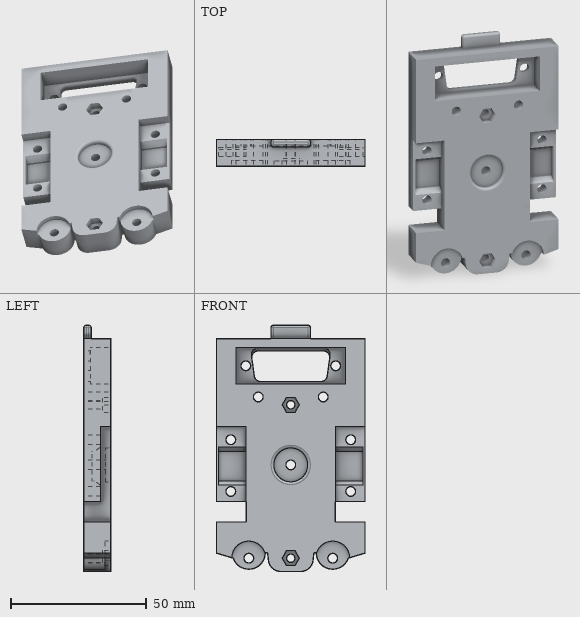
import cadquery as cq
import math

WIDTH = 55.0
THICKNESS = 10.0
PLATE_TOP = 86.0
HALF_WIDTH = WIDTH / 2
CUT_MARGIN = 1.0
SIDES = (-1, 1)

TAB_WIDTH = 14.7
TAB_THICKNESS = 2.8
TAB_HEIGHT = 5.0
TAB_SIDE_ROUND = 1.05
TAB_TOP_ROUND = 0.9

LOWER_HOLE_Z = 4.95
FOOT_HALF_WIDTH = 8.6
FOOT_SIDE_ANGLE = 6.5
FOOT_CORNER_RADIUS = 4.65
EAR_X = 15.5
EAR_CENTER_Z = 6.95
EAR_RADIUS = 6.1
EAR_RECESS_RADIUS = 6.3
EAR_RECESS_DEPTH = 2.1
CORNER_Z = 6.8
SLANT_ANGLE = 16.5

SIDE_CUT_X = 16.5
NOTCH_BOTTOM = 18.4
NOTCH_TOP = 25.8
RECESS_TOP = 53.5
RECESS_DEPTH = 3.75

SIDE_POCKET_OUTER_X = 26.6
SIDE_POCKET_Z = 38.95
SIDE_POCKET_HEIGHT = 14.0
SIDE_POCKET_FLOOR_HEIGHT = 10.9
SIDE_POCKET_DEPTH = 3.25
SIDE_POCKET_SLOPE_DEPTH = 2.45

CONNECTOR_Z = 76.0
CONNECTOR_POCKET_WIDTH = 40.4
CONNECTOR_POCKET_HEIGHT = 13.5
CONNECTOR_WALL = 2.5
WINDOW_BOTTOM = 70.25
WINDOW_TOP = 82.4
WINDOW_TOP_HALF_WIDTH = 14.85
WINDOW_SIDE_ANGLE = 8.0
WINDOW_CORNER_RADIUS = 2.2
WINDOW_LIP_RADIUS = 1.0

DISC_Z = 39.4
DISC_RADIUS = 6.25
DISC_DEPTH = 2.0
DISC_RIM_ROUND = 1.0

NUT_UPPER_Z = 61.6
NUT_ACROSS_FLATS = 5.5
NUT_DEPTH = 3.0
NUT_HOLE = 3.0

SCREW_HOLE = 3.5
CONNECTOR_HOLE_X = 16.6
PAIR_HOLE_X = 12.0
PAIR_HOLE_Z = 64.5
SIDE_HOLE_X = 22.15
SIDE_HOLE_Z = 39.15
SIDE_HOLE_SPACING = 19.1


def front_plane(y=0.0):
    """Sketch plane at depth y: local x is X, local y is Z, negative extrusions run towards +Y."""
    return cq.Workplane(cq.Plane(origin=(0, y, 0), xDir=(1, 0, 0), normal=(0, -1, 0)))


def box(x0, x1, y0, y1, z0, z1):
    """Axis-aligned box between the given limits, in any order along X."""
    return cq.Workplane("XY").box(abs(x1 - x0), y1 - y0, z1 - z0, centered=False).translate(
        (min(x0, x1), y0, z0)
    )


def disc(x, z, radius, y0, y1):
    """Round cutter along Y."""
    return front_plane(y0).center(x, z).circle(radius).extrude(y0 - y1)


def through_hole(x, z, diameter):
    return disc(x, z, diameter / 2, -CUT_MARGIN, THICKNESS + CUT_MARGIN)


def make_plate():
    """Plate with slanted lower corners, two round ears and the central foot."""
    slant_run = HALF_WIDTH - EAR_X
    slant_end_z = CORNER_Z - slant_run * math.tan(math.radians(SLANT_ANGLE))
    plate = (
        front_plane()
        .moveTo(-HALF_WIDTH, PLATE_TOP)
        .lineTo(-HALF_WIDTH, CORNER_Z)
        .lineTo(-EAR_X, slant_end_z)
        .lineTo(-EAR_X, EAR_CENTER_Z)
        .lineTo(EAR_X, EAR_CENTER_Z)
        .lineTo(EAR_X, slant_end_z)
        .lineTo(HALF_WIDTH, CORNER_Z)
        .lineTo(HALF_WIDTH, PLATE_TOP)
        .close()
        .extrude(-THICKNESS)
    )
    foot_base_half = FOOT_HALF_WIDTH - EAR_CENTER_Z * math.tan(math.radians(FOOT_SIDE_ANGLE))
    foot = (
        front_plane()
        .polyline(
            [
                (-FOOT_HALF_WIDTH, EAR_CENTER_Z),
                (-foot_base_half, 0),
                (foot_base_half, 0),
                (FOOT_HALF_WIDTH, EAR_CENTER_Z),
            ]
        )
        .close()
        .extrude(-THICKNESS)
        .edges("|Y and <Z")
        .fillet(FOOT_CORNER_RADIUS)
    )
    plate = plate.union(foot)
    for side in SIDES:
        plate = plate.union(disc(side * EAR_X, EAR_CENTER_Z, EAR_RADIUS, 0, THICKNESS))
    return plate


def make_tab():
    """Tab with rounded upright edges and a rounded top."""
    half = TAB_WIDTH / 2
    tab_top = PLATE_TOP + TAB_HEIGHT
    tab = box(-half, half, THICKNESS - TAB_THICKNESS, THICKNESS, PLATE_TOP, tab_top)
    return tab.edges("|Z").fillet(TAB_SIDE_ROUND).faces(">Z").edges().fillet(TAB_TOP_ROUND)


def side_cut(side):
    """Notch, recess and sloped pocket on one side of the plate."""
    outer = side * (HALF_WIDTH + CUT_MARGIN)
    inner = side * SIDE_CUT_X
    notch = box(inner, outer, -CUT_MARGIN, THICKNESS + CUT_MARGIN, NOTCH_BOTTOM, NOTCH_TOP)
    recess = box(inner, outer, -CUT_MARGIN, RECESS_DEPTH, NOTCH_BOTTOM, RECESS_TOP)

    mouth = SIDE_POCKET_HEIGHT / 2
    floor = SIDE_POCKET_FLOOR_HEIGHT / 2
    pocket = (
        cq.Workplane("YZ", origin=(inner, RECESS_DEPTH, SIDE_POCKET_Z))
        .polyline(
            [
                (0, -mouth),
                (SIDE_POCKET_SLOPE_DEPTH, -floor),
                (SIDE_POCKET_DEPTH, -floor),
                (SIDE_POCKET_DEPTH, floor),
                (SIDE_POCKET_SLOPE_DEPTH, floor),
                (0, mouth),
            ]
        )
        .close()
        .extrude(side * (SIDE_POCKET_OUTER_X - SIDE_CUT_X))
    )
    return notch.union(recess).union(pocket)


def window_prism(top_z, y0, y1):
    """D-shaped prism with rounded corners, cut off at top_z; all heights share the same sloping sides."""
    slope = math.tan(math.radians(WINDOW_SIDE_ANGLE))
    top_half = WINDOW_TOP_HALF_WIDTH - (WINDOW_TOP - top_z) * slope
    bottom_half = WINDOW_TOP_HALF_WIDTH - (WINDOW_TOP - WINDOW_BOTTOM) * slope
    return (
        front_plane(y0)
        .polyline(
            [
                (-top_half, top_z),
                (top_half, top_z),
                (bottom_half, WINDOW_BOTTOM),
                (-bottom_half, WINDOW_BOTTOM),
            ]
        )
        .close()
        .extrude(y0 - y1)
        .edges("|Y")
        .fillet(WINDOW_CORNER_RADIUS)
    )


def connector_cut():
    """Rectangular pocket and a D-shaped window whose upper lip is rounded, fading out at the corners."""
    half_width = CONNECTOR_POCKET_WIDTH / 2
    half_height = CONNECTOR_POCKET_HEIGHT / 2
    pocket_bottom = CONNECTOR_Z - half_height
    pocket_top = CONNECTOR_Z + half_height
    floor_y = THICKNESS - CONNECTOR_WALL
    window_end = THICKNESS + CUT_MARGIN
    pocket = box(-half_width, half_width, -CUT_MARGIN, floor_y, pocket_bottom, pocket_top)

    narrow_window = window_prism(WINDOW_TOP - WINDOW_LIP_RADIUS, floor_y, window_end)
    around_window = cq.selectors.BoxSelector(
        (-WINDOW_TOP_HALF_WIDTH, floor_y - CUT_MARGIN, pocket_bottom),
        (WINDOW_TOP_HALF_WIDTH, floor_y + CUT_MARGIN, WINDOW_TOP),
    )
    rounded_wall = (
        box(-half_width, half_width, floor_y, window_end, pocket_bottom - CUT_MARGIN, PLATE_TOP)
        .cut(narrow_window)
        .faces("<Y")
        .edges(around_window)
        .fillet(WINDOW_LIP_RADIUS)
    )

    wide_window = window_prism(WINDOW_TOP, floor_y, window_end)
    return pocket.union(wide_window.cut(rounded_wall))


def disc_cut():
    """Round pocket whose rim is rounded into the front face, turned about its Y axis."""
    rim_radius = DISC_RADIUS + DISC_RIM_ROUND
    arc_inset = DISC_RIM_ROUND * (1 - math.sqrt(0.5))
    return (
        cq.Workplane("XY", origin=(0, 0, DISC_Z))
        .lineTo(rim_radius, 0)
        .threePointArc((DISC_RADIUS + arc_inset, arc_inset), (DISC_RADIUS, DISC_RIM_ROUND))
        .lineTo(DISC_RADIUS, DISC_DEPTH)
        .lineTo(0, DISC_DEPTH)
        .close()
        .revolve(360, (0, 0, 0), (0, 1, 0))
    )


def nut_cut(z):
    """Hexagonal pocket with corners along X, and its screw hole."""
    across_corners = NUT_ACROSS_FLATS / math.cos(math.radians(30))
    pocket = front_plane().center(0, z).polygon(6, across_corners).extrude(-NUT_DEPTH)
    return pocket.union(through_hole(0, z, NUT_HOLE))


result = make_plate().union(make_tab())
result = result.cut(connector_cut()).cut(disc_cut())
for nut_z in (LOWER_HOLE_Z, NUT_UPPER_Z):
    result = result.cut(nut_cut(nut_z))

hole_places = [(0, DISC_Z)]
for side in SIDES:
    result = result.cut(side_cut(side))
    result = result.cut(disc(side * EAR_X, LOWER_HOLE_Z, EAR_RECESS_RADIUS, -CUT_MARGIN, EAR_RECESS_DEPTH))
    hole_places.append((side * EAR_X, LOWER_HOLE_Z))
    hole_places.append((side * CONNECTOR_HOLE_X, CONNECTOR_Z))
    hole_places.append((side * PAIR_HOLE_X, PAIR_HOLE_Z))
    for end in SIDES:
        hole_places.append((side * SIDE_HOLE_X, SIDE_HOLE_Z + end * SIDE_HOLE_SPACING / 2))

for hole_x, hole_z in hole_places:
    result = result.cut(through_hole(hole_x, hole_z, SCREW_HOLE))